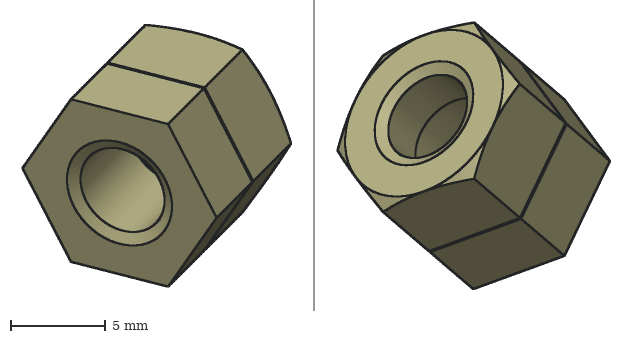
import cadquery as cq
import math

across_corners = 11.55
across_flats = across_corners * math.sqrt(3) / 2

total_length = 9.2
front_length = 4.2
gap = 0.1
rear_start = front_length + gap
rear_length = total_length - rear_start

bore_diameter = 5.0
countersink_diameter = 6.25
face_angle = 30.0
face_slope = math.tan(math.radians(face_angle))
countersink_depth = (countersink_diameter - bore_diameter) / 2 * face_slope

crown_depth = (across_corners - across_flats) / 2 * face_slope

boss_diameter = 8.0
boss_length = 2.0
boss_taper = 15.0
boss_tip_diameter = boss_diameter - 2 * boss_length * math.tan(math.radians(boss_taper))


def along_axis(start):
    """Sketch plane across the nut axis, facing +Y."""
    return cq.Workplane(cq.Plane(origin=(0, start, 0), xDir=(1, 0, 0), normal=(0, 1, 0)))


def hexagon(start, length):
    return along_axis(start).polygon(6, across_corners).extrude(length)


def cone(start, direction, length, start_diameter, end_diameter):
    """Frustum on the nut axis; direction is +1 or -1 along Y."""
    return cq.Workplane(
        cq.Solid.makeCone(
            start_diameter / 2,
            end_diameter / 2,
            length,
            cq.Vector(0, start, 0),
            cq.Vector(0, direction, 0),
        )
    )


def countersink(face, direction):
    """Cone opening the bore at an end face; direction points into the nut."""
    return cone(face, direction, countersink_depth, countersink_diameter, bore_diameter)


def crown_envelope():
    """Turned shape that bevels the rear corners of the hexagon."""
    crown_start = total_length - crown_depth
    barrel = along_axis(rear_start).circle(across_corners / 2).extrude(rear_length - crown_depth)
    return barrel.union(cone(crown_start, 1, crown_depth, across_corners, across_flats))


bore = along_axis(0).circle(bore_diameter / 2).extrude(total_length)
boss = cone(front_length, 1, boss_length, boss_diameter, boss_tip_diameter)


def make_front_nut():
    """Hexagon with the tapered boss on its rear face."""
    body = hexagon(0, front_length).union(boss)
    return body.cut(bore).cut(countersink(0, 1))


def make_rear_nut():
    """Crowned hexagon with a tapered recess that matches the boss."""
    body = hexagon(rear_start, rear_length).intersect(crown_envelope())
    return body.cut(boss).cut(bore).cut(countersink(total_length, -1))


front_nut = make_front_nut()
rear_nut = make_rear_nut()

result = cq.Compound.makeCompound([front_nut.solids().val(), rear_nut.solids().val()])